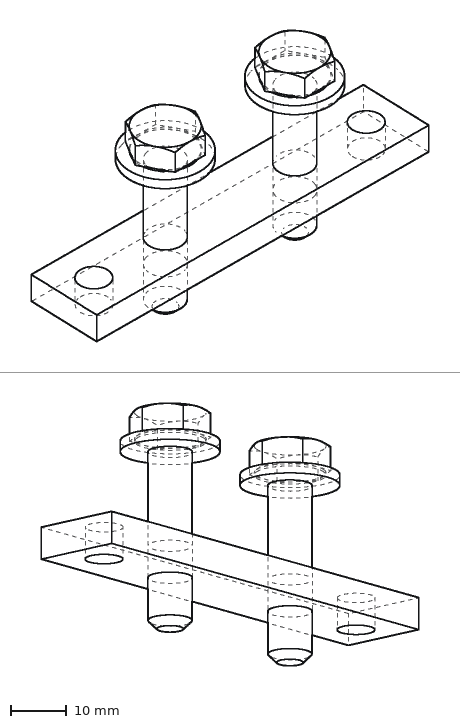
import cadquery as cq
import math

plate_length = 83.0
plate_width = 17.0
plate_thickness = 6.0
mount_hole_diameter = 6.8
mount_hole_offset = 34.0

bolt_offset = 16.2
bolt_length = 40.3
shank_diameter = 8.0
tip_chamfer = 1.6
plate_bottom = 9.55
flange_bottom = 32.95
flange_diameter = 18.0
flange_thickness = 2.0
collar_height = 0.4
head_across_flats = 12.95
head_chamfer_angle = 30.0

flange_top = flange_bottom + flange_thickness
head_bottom = flange_top + collar_height
head_height = bolt_length - head_bottom
bolt_positions = [-bolt_offset, bolt_offset]
mount_hole_positions = [-mount_hole_offset, mount_hole_offset]


def cylinder(diameter, bottom, height):
    """Upright cylinder on the Z axis."""
    return cq.Workplane("XY").workplane(offset=bottom).circle(diameter / 2).extrude(height)


def make_plate():
    """Flat bar with two mounting holes and two close-fitting bolt holes."""
    return (
        cq.Workplane("XY")
        .workplane(offset=plate_bottom)
        .rect(plate_width, plate_length)
        .extrude(plate_thickness)
        .faces(">Z")
        .workplane(origin=(0, 0, 0))
        .pushPoints([(0, y) for y in mount_hole_positions])
        .hole(mount_hole_diameter)
        .pushPoints([(0, y) for y in bolt_positions])
        .hole(shank_diameter)
    )


def make_head():
    """Hexagonal head with corners on the Y axis and a conical top chamfer."""
    corner_radius = head_across_flats / 2 / math.cos(math.radians(30))
    hexagon = (
        cq.Workplane("XY")
        .workplane(offset=head_bottom)
        .polygon(6, 2 * corner_radius)
        .extrude(head_height)
        .rotate((0, 0, 0), (0, 0, 1), 90)
    )
    top_radius = head_across_flats / 2
    corner_drop = (corner_radius - top_radius) * math.tan(math.radians(head_chamfer_angle))
    chamfer_envelope = (
        cq.Workplane("XZ")
        .moveTo(0, head_bottom)
        .lineTo(corner_radius, head_bottom)
        .lineTo(corner_radius, bolt_length - corner_drop)
        .lineTo(top_radius, bolt_length)
        .lineTo(0, bolt_length)
        .close()
        .revolve(360, (0, 0, 0), (0, 1, 0))
    )
    return hexagon.intersect(chamfer_envelope)


def make_bolt(y):
    """Flanged hex bolt with its axis at the given Y."""
    shank = cylinder(shank_diameter, 0, flange_bottom).faces("<Z").chamfer(tip_chamfer)
    flange = cylinder(flange_diameter, flange_bottom, flange_thickness)
    collar = cylinder(head_across_flats, flange_top, collar_height)
    bolt = shank.union(flange).union(collar).union(make_head())
    return bolt.translate((0, y, 0))


plate = make_plate()
bolts = [make_bolt(y) for y in bolt_positions]

result = cq.Compound.makeCompound([plate.val(), *[bolt.val() for bolt in bolts]])